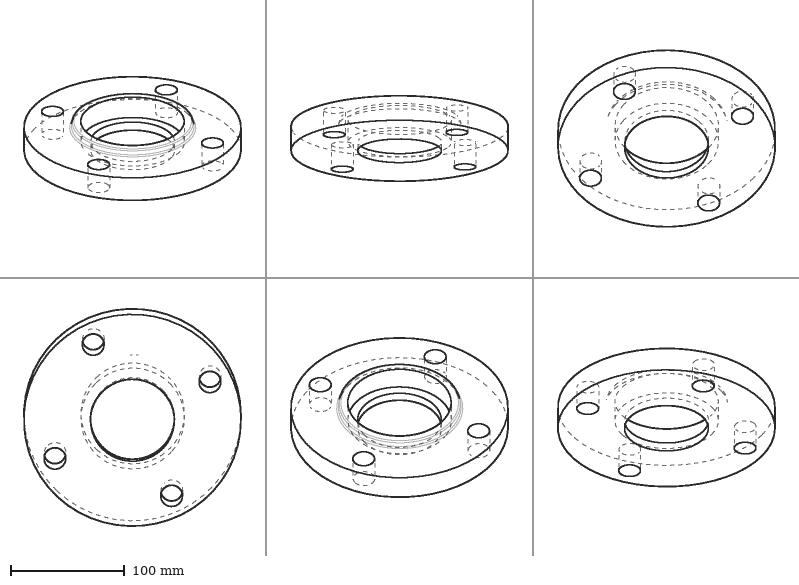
import cadquery as cq

flange_diameter = 190.5
flange_thickness = 22.5

overall_height = 28.4
hub_base_diameter = 108.2
hub_top_diameter = 105.5
hub_top_rounding = 1.5
hub_root_rounding = 1.5
hub_height = overall_height - flange_thickness

socket_diameter = 90.7
socket_depth = 20.2
bore_diameter = 73.5

bolt_hole_count = 4
bolt_hole_diameter = 19.0
bolt_circle_diameter = 152.4


def make_flange_plate():
    return cq.Workplane("XY").circle(flange_diameter / 2).extrude(flange_thickness)


def make_hub():
    """Conical hub standing on the plate, with its top outer edge rounded."""
    cone = (
        cq.Workplane("XY", origin=(0, 0, flange_thickness))
        .circle(hub_base_diameter / 2)
        .workplane(offset=hub_height)
        .circle(hub_top_diameter / 2)
        .loft(ruled=True)
    )
    return cone.faces(">Z").edges().fillet(hub_top_rounding)


def round_hub_root(body):
    """Fillet the corner where the hub meets the plate."""
    point_beside_hub = (bolt_circle_diameter / 2, 0, flange_thickness)
    plate_top = body.faces(cq.selectors.NearestToPointSelector(point_beside_hub))
    smallest_edge = cq.selectors.RadiusNthSelector(0)
    return plate_top.edges(smallest_edge).fillet(hub_root_rounding)


def make_bore():
    """Through bore opening into the wider socket at the hub end."""
    through = cq.Workplane("XY").circle(bore_diameter / 2).extrude(overall_height)
    socket = (
        cq.Workplane("XY", origin=(0, 0, overall_height - socket_depth))
        .circle(socket_diameter / 2)
        .extrude(socket_depth)
    )
    return through.union(socket)


def make_bolt_holes():
    return (
        cq.Workplane("XY")
        .polarArray(bolt_circle_diameter / 2, 0, 360, bolt_hole_count)
        .circle(bolt_hole_diameter / 2)
        .extrude(flange_thickness)
    )


body = round_hub_root(make_flange_plate().union(make_hub()))
result = body.cut(make_bore()).cut(make_bolt_holes())